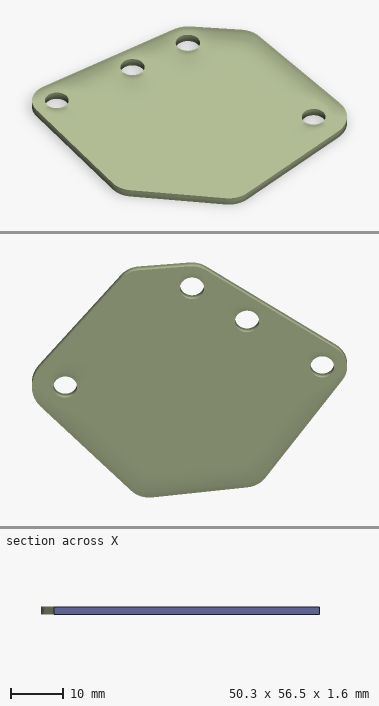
import cadquery as cq

thickness = 1.6
end_hole_diameter = 4.5
row_hole_diameter = 4.65
corner_radius = 4.8
top_corner_radius = 6.3

corners = [
    (16.3, -19.6, corner_radius),
    (25.7, 1.2, corner_radius),
    (9.95, 29.95, top_corner_radius),
    (-20.25, 18.15, corner_radius),
    (-25.45, 5.65, corner_radius),
    (-15.0, -29.4, corner_radius),
]

holes = [
    (7.1, 22.0, end_hole_diameter),
    (-20.4, 5.35, row_hole_diameter),
    (-16.8, -6.8, row_hole_diameter),
    (-11.8, -23.4, end_hole_diameter),
]


def rounded_plate():
    outline = [(x, y) for x, y, _ in corners]
    plate = cq.Workplane("XY").polyline(outline).close().extrude(thickness)
    for x, y, radius in corners:
        corner_edge = cq.selectors.NearestToPointSelector((x, y, thickness / 2))
        plate = plate.edges("|Z").edges(corner_edge).fillet(radius)
    return plate


def through_hole(x, y, diameter):
    return cq.Workplane("XY").center(x, y).circle(diameter / 2).extrude(thickness)


result = rounded_plate()
for hole_x, hole_y, hole_diameter in holes:
    result = result.cut(through_hole(hole_x, hole_y, hole_diameter))